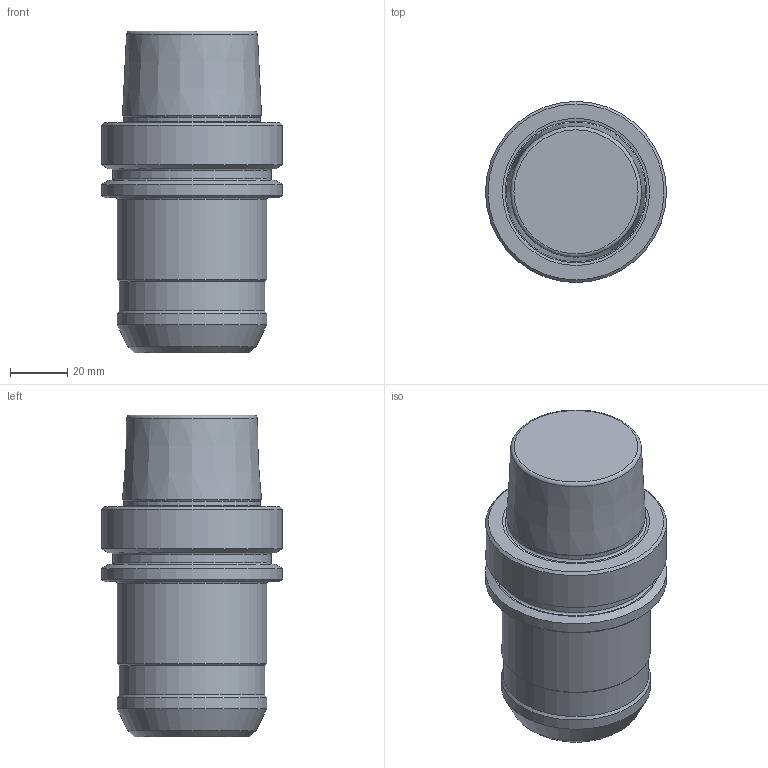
import cadquery as cq
import math


overall_length = 111.9

undercut_radius = 0.8
undercut_depth = 0.2

shank_length = 31.9
gauge_radius = 24.0
gauge_height = 6.3
taper_ratio = 9.98
shank_top_fillet = 1.2
taper_foot_z = 2.5
neck_radius = 23.85
neck_top_z = 2.0
face_land_radius = 25.6

flange_radius = 31.5
flange_height = 26.0
flange_chamfer = 0.9
groove_center_z = -18.0
groove_mouth_width = 6.9
groove_floor_radius = 27.6
groove_side_angle = 30.0
groove_side_foot_radius = 29.0

body_radius = 26.0
body_land_radius = 27.75
relief_radius = 25.3
relief_top_z = -55.2
relief_bottom_z = -65.4
relief_lower_cone_height = 1.0
nose_start_z = -70.25
nose_radius = 22.3
nose_end_z = -77.9
bottom_radius = 20.0

bottom_z = shank_length - overall_length
flange_bottom_z = -flange_height
flange_face_radius = flange_radius - flange_chamfer
relief_step = body_radius - relief_radius
groove_side_drop = (flange_radius - groove_side_foot_radius) * math.tan(math.radians(groove_side_angle))
groove_top_z = groove_center_z + groove_mouth_width / 2
groove_bottom_z = groove_center_z - groove_mouth_width / 2
groove_top_foot_z = groove_top_z - groove_side_drop
groove_bottom_foot_z = groove_bottom_z + groove_side_drop


def taper_radius(z):
    return gauge_radius - (z - gauge_height) / (2 * taper_ratio)


def corner_arc(corner_radius, corner_z, up):
    """Cylinder end, middle and shoulder end of a concave quarter arc beside a cylinder.

    `up` is +1 when the cylinder rises from the shoulder and -1 when it hangs below it.
    """
    inset = undercut_radius * (1 - math.sqrt(0.5))
    on_cylinder = (corner_radius, corner_z + up * undercut_radius)
    middle = (corner_radius + inset, corner_z + up * inset)
    on_shoulder = (corner_radius + undercut_radius, corner_z)
    return on_cylinder, middle, on_shoulder


neck_arc = corner_arc(neck_radius, -undercut_depth, 1)
groove_top_arc = corner_arc(groove_floor_radius, groove_top_foot_z + undercut_depth, -1)
groove_bottom_arc = corner_arc(groove_floor_radius, groove_bottom_foot_z - undercut_depth, 1)
body_arc = corner_arc(body_radius, flange_bottom_z + undercut_depth, -1)


def trace_shank(profile):
    return (
        profile.moveTo(0, shank_length)
        .lineTo(taper_radius(shank_length), shank_length)
        .lineTo(taper_radius(taper_foot_z), taper_foot_z)
        .lineTo(neck_radius, neck_top_z)
        .lineTo(*neck_arc[0])
        .threePointArc(neck_arc[1], neck_arc[2])
        .lineTo(face_land_radius, 0)
    )


def trace_flange(profile):
    return (
        profile.lineTo(flange_face_radius, 0)
        .lineTo(flange_radius, -flange_chamfer)
        .lineTo(flange_radius, groove_top_z)
        .lineTo(groove_side_foot_radius, groove_top_foot_z)
        .lineTo(*groove_top_arc[2])
        .threePointArc(groove_top_arc[1], groove_top_arc[0])
        .lineTo(*groove_bottom_arc[0])
        .threePointArc(groove_bottom_arc[1], groove_bottom_arc[2])
        .lineTo(groove_side_foot_radius, groove_bottom_foot_z)
        .lineTo(flange_radius, groove_bottom_z)
        .lineTo(flange_radius, flange_bottom_z + flange_chamfer)
        .lineTo(flange_face_radius, flange_bottom_z)
    )


def trace_lower_body(profile):
    return (
        profile.lineTo(body_land_radius, flange_bottom_z)
        .lineTo(*body_arc[2])
        .threePointArc(body_arc[1], body_arc[0])
        .lineTo(body_radius, relief_top_z + relief_step)
        .lineTo(relief_radius, relief_top_z)
        .lineTo(relief_radius, relief_bottom_z)
        .lineTo(body_radius, relief_bottom_z - relief_lower_cone_height)
        .lineTo(body_radius, nose_start_z)
        .lineTo(nose_radius, nose_end_z)
        .lineTo(bottom_radius, bottom_z)
        .lineTo(0, bottom_z)
    )


half_profile = trace_lower_body(trace_flange(trace_shank(cq.Workplane("XZ")))).close()
turned_body = half_profile.revolve(360, (0, 0, 0), (0, 1, 0))

result = turned_body.faces(">Z").edges().fillet(shank_top_fillet)